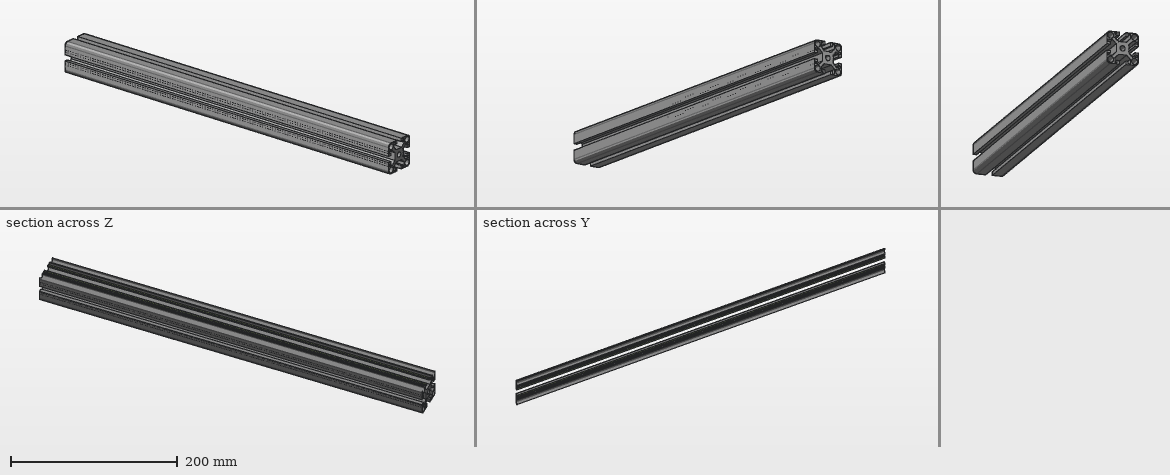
import cadquery as cq

length = 500.0
width = 40.0
half_width = width / 2
corner_radius = 4.5

slot_opening = 8.0
lip_depth = 4.5
lip_width = 3.0
flange_thickness = 1.5
slot_width = 19.5
floor_width = 10.0
floor_height = 8.0

core_hole_diameter = 6.5
corner_hole_diameter = 7.5
corner_hole_offset = 15.0


def slot_cutter():
    """Slot open toward +Z, narrowing at 45 degrees to its floor."""
    mouth = slot_opening / 2
    lip_inside = mouth + lip_width
    wall = slot_width / 2
    lip_bottom = half_width - lip_depth
    flange_bottom = half_width - flange_thickness
    half_floor = floor_width / 2
    wall_bottom = floor_height + wall - half_floor
    right_side = [
        (mouth, half_width),
        (mouth, lip_bottom),
        (lip_inside, lip_bottom),
        (lip_inside, flange_bottom),
        (wall, flange_bottom),
        (wall, wall_bottom),
        (half_floor, floor_height),
    ]
    left_side = [(-y, z) for y, z in reversed(right_side)]
    return cq.Workplane("YZ").polyline(right_side + left_side).close().extrude(length)


bar = cq.Workplane("YZ").rect(width, width).extrude(length)
bar = bar.edges("|X").fillet(corner_radius)

slot = slot_cutter()
for quarter_turn in range(4):
    bar = bar.cut(slot.rotate((0, 0, 0), (1, 0, 0), 90 * quarter_turn))

core_hole = cq.Workplane("YZ").circle(core_hole_diameter / 2).extrude(length)
corner_holes = (
    cq.Workplane("YZ")
    .rect(2 * corner_hole_offset, 2 * corner_hole_offset, forConstruction=True)
    .vertices()
    .circle(corner_hole_diameter / 2)
    .extrude(length)
)
bar = bar.cut(core_hole).cut(corner_holes)

result = bar.translate((-length / 2, 0, 0))